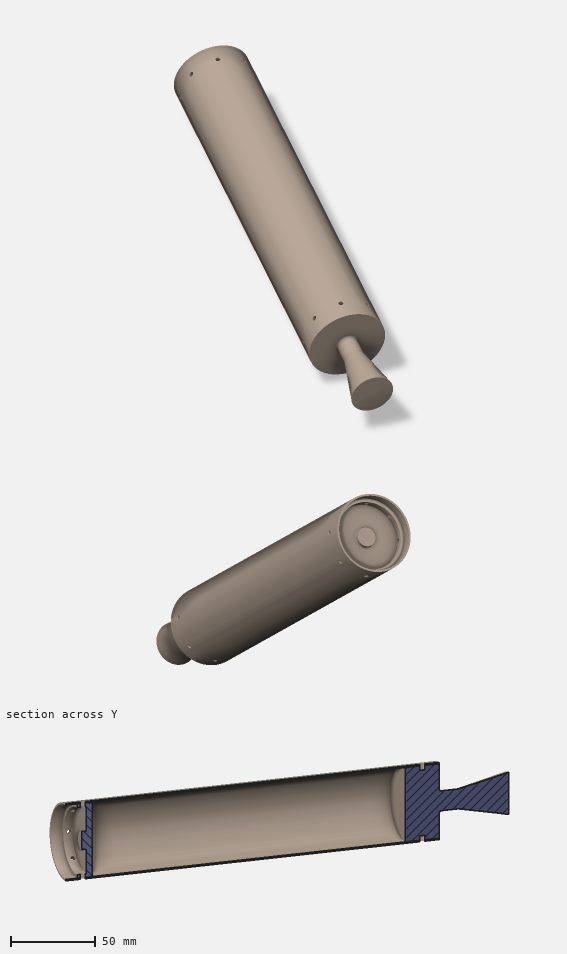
import cadquery as cq

casing_length = 241.5
casing_diameter = 47.8
casing_radius = casing_diameter / 2
casing_wall = 1.1
bore_radius = casing_radius - casing_wall

screw_hole_diameter = 3.0
screw_hole_inset = 11.2
screw_hole_bottom = 20.3
screw_hole_count = 8

rim_inset = 7.5
cup_depth = 6.0
cup_radius = 20.5
floor_thickness = 4.3
floor_inset = rim_inset + cup_depth
cup_fillet = 0.43
boss_radius = 5.7
boss_height = 3.0
root_fillet = 1.0

total_length = 286.0
plug_length = 2 * screw_hole_inset
neck_radius = 6.3
cone_start = 253.5
cone_end_radius = 13.2


def revolve_about_x(profile):
    """Turn a closed profile, drawn with radius along Y, into a solid around the X axis."""
    return profile.close().revolve(360, (0, 0, 0), (1, 0, 0))


def drill_screw_holes(body, position):
    """Drill a ring of radial holes into a body from outside, at one X position."""
    first_hole = (
        cq.Workplane("XY", origin=(position, 0, screw_hole_bottom))
        .circle(screw_hole_diameter / 2)
        .extrude(casing_radius + casing_wall - screw_hole_bottom)
    )
    for index in range(screw_hole_count):
        angle = index * 360 / screw_hole_count
        body = body.cut(first_hole.rotate((0, 0, 0), (1, 0, 0), angle))
    return body


def make_casing():
    """Tube with a ring of screw holes near each end."""
    tube = cq.Workplane("YZ").circle(casing_radius).circle(bore_radius).extrude(casing_length)
    tube = drill_screw_holes(tube, screw_hole_inset)
    return drill_screw_holes(tube, casing_length - screw_hole_inset)


def make_forward_closure():
    """Cup with a round boss on its floor and fillets where the floor meets boss and wall."""
    closure_end = floor_inset + floor_thickness
    profile = (
        cq.Workplane("XY")
        .moveTo(floor_inset - boss_height, 0)
        .lineTo(floor_inset - boss_height, boss_radius)
        .lineTo(floor_inset - root_fillet, boss_radius)
        .radiusArc((floor_inset, boss_radius + root_fillet), -root_fillet)
        .lineTo(floor_inset, cup_radius - cup_fillet)
        .radiusArc((floor_inset - cup_fillet, cup_radius), -cup_fillet)
        .lineTo(rim_inset, cup_radius)
        .lineTo(rim_inset, bore_radius)
        .lineTo(closure_end, bore_radius)
        .lineTo(closure_end, 0)
    )
    return drill_screw_holes(revolve_about_x(profile), screw_hole_inset)


def make_nozzle():
    """Plug, neck and cone in one piece, with a fillet where the neck leaves the plug."""
    plug_start = casing_length - plug_length
    profile = (
        cq.Workplane("XY")
        .moveTo(plug_start, 0)
        .lineTo(plug_start, bore_radius)
        .lineTo(casing_length, bore_radius)
        .lineTo(casing_length, neck_radius + root_fillet)
        .radiusArc((casing_length + root_fillet, neck_radius), -root_fillet)
        .lineTo(cone_start, neck_radius)
        .lineTo(total_length, cone_end_radius)
        .lineTo(total_length, 0)
    )
    return drill_screw_holes(revolve_about_x(profile), casing_length - screw_hole_inset)


casing = make_casing().solids().val()
forward_closure = make_forward_closure().solids().val()
nozzle = make_nozzle().solids().val()

result = cq.Compound.makeCompound([casing, forward_closure, nozzle])